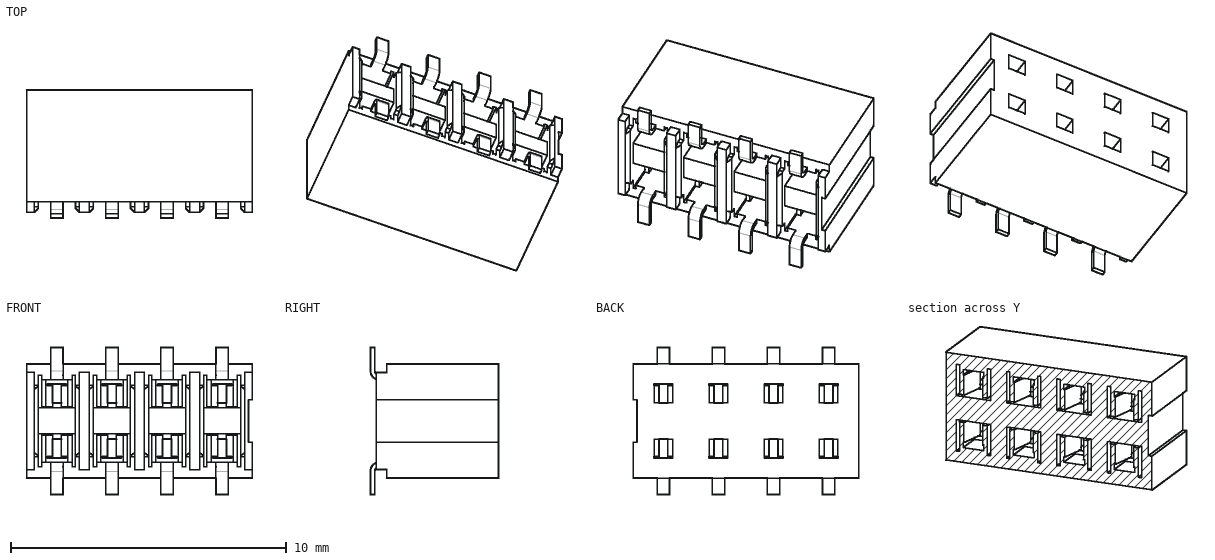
import cadquery as cq
import math


length = 8.18
depth = 4.06
height = 4.15
side_groove_depth = 0.14
side_groove_height = 1.53

cell_count = 4
pitch = 2.0
cell_centres = [(i - (cell_count - 1) / 2) * pitch for i in range(cell_count)]
cell_width = 1.34
cell_height = 3.305
cell_depth = 1.96
block_height = 0.94

rib_height = 3.52
rib_projection = 0.385
rib_gap = 1.64
wide_rib_gap = cell_width
wide_rib_height = 2.6
wide_rib_side_bevel = 0.15
wide_rib_end_bevel = 0.205
wide_rib_end_drop = 0.15

metal = 0.16
contact_width = 1.11
plate_inner_z = cell_height / 2 - metal
tail_width = 0.46
tail_tip_z = 2.67
tail_front = 0.59
bend_inner_radius = 0.16
bend_outer_radius = bend_inner_radius + metal

wall_front = 0.82
wall_thickness = 0.155
wall_end_z = 0.52
spring_gap = 0.31
spring_outer_z = 1.29

slot_width = 0.67
slot_inner_z = 0.655
slot_outer_z = 1.33


def box(x_range, y_range, z_range):
    """Box between opposite corners given as (low, high) pairs."""
    sizes = [high - low for low, high in (x_range, y_range, z_range)]
    low_corner = (x_range[0], y_range[0], z_range[0])
    return cq.Workplane("XY").box(*sizes, centered=False).translate(low_corner)


def centred(size):
    """Range of the given size about zero."""
    return (-size / 2, size / 2)


def around(centre, size):
    """Range of the given size about a centre."""
    return (centre - size / 2, centre + size / 2)


def wide_rib(left, right):
    """Broad root of a rib, bevelled on its sides and on its top and bottom ends."""
    side = (rib_gap - wide_rib_gap) / 2
    shoulder = wide_rib_side_bevel - rib_projection
    plan = (
        cq.Workplane("XY")
        .polyline([
            (left - side, 0),
            (left - side, shoulder),
            (left, -rib_projection),
            (right, -rib_projection),
            (right + side, shoulder),
            (right + side, 0),
        ])
        .close()
        .extrude(wide_rib_height / 2, both=True)
    )
    root_z = wide_rib_height / 2
    tip_z = root_z - wide_rib_end_drop
    bevel_start = wide_rib_end_bevel - rib_projection
    profile = (
        cq.Workplane("YZ")
        .polyline([
            (0, -root_z),
            (bevel_start, -root_z),
            (-rib_projection, -tip_z),
            (-rib_projection, tip_z),
            (bevel_start, root_z),
            (0, root_z),
        ])
        .close()
        .extrude(length, both=True)
    )
    return plan.intersect(profile)


def ribs():
    """A rib on each side of every cell, those at the ends cut flush with the housing."""
    rib_width = pitch - rib_gap
    row = cq.Workplane("XY")
    for i in range(cell_count + 1):
        centre = (i - cell_count / 2) * pitch
        left, right = around(centre, rib_width)
        if i == 0:
            left = -length / 2
        if i == cell_count:
            right = length / 2
        row = row.union(box((left, right), (-rib_projection, 0), centred(rib_height)))
        row = row.union(wide_rib(left, right))
    return row.intersect(box(centred(length), (-rib_projection, 0), centred(rib_height)))


def slot(x):
    """Upper slot through the cell floor, running on behind the springs at both sides."""
    return box(around(x, slot_width), (cell_depth, depth), (slot_inner_z, slot_outer_z))


def contact_side():
    """Side wall of the upper contact, towards +X of its centre, with its spring leaning inward."""
    outer_x = contact_width / 2
    inner_x = outer_x - wall_thickness
    wall = box((inner_x, outer_x), (wall_front, cell_depth), (wall_end_z, plate_inner_z))
    spring = (
        cq.Workplane("XY", origin=(0, 0, wall_end_z))
        .polyline([
            (inner_x, wall_front),
            (spring_gap / 2, cell_depth),
            (inner_x, cell_depth),
        ])
        .close()
        .extrude(spring_outer_z - wall_end_z)
    )
    return wall.union(spring)


def contact(x):
    """Upper contact: a plate along the cell roof, two side walls and a tail bent upward."""
    roof_z = cell_height / 2
    plate = box(around(x, contact_width), (0, cell_depth), (plate_inner_z, roof_z))
    bend_y = bend_outer_radius - tail_front
    bend_z = plate_inner_z + bend_outer_radius
    diagonal = math.sqrt(0.5)
    tail = (
        cq.Workplane("YZ", origin=(x, 0, 0))
        .moveTo(0, plate_inner_z)
        .lineTo(bend_y, plate_inner_z)
        .threePointArc(
            (bend_y - bend_outer_radius * diagonal, bend_z - bend_outer_radius * diagonal),
            (-tail_front, bend_z),
        )
        .lineTo(-tail_front, tail_tip_z)
        .lineTo(metal - tail_front, tail_tip_z)
        .lineTo(metal - tail_front, bend_z)
        .threePointArc(
            (bend_y - bend_inner_radius * diagonal, bend_z - bend_inner_radius * diagonal),
            (bend_y, roof_z),
        )
        .lineTo(0, roof_z)
        .close()
        .extrude(tail_width / 2, both=True)
    )
    right_side = contact_side()
    sides = right_side.union(right_side.mirror("YZ")).translate((x, 0, 0))
    return plate.union(sides).union(tail)


def with_lower_twin(upper):
    """An upper feature joined with its mirror image below the mid-plane."""
    return upper.union(upper.mirror("XY"))


def cell_half(x):
    """Upper half of a cell, between the central block and the cell roof."""
    return box(around(x, cell_width), (0, cell_depth), (block_height / 2, cell_height / 2))


result = box(centred(length), (0, depth), centred(height)).union(ribs())

for x in cell_centres:
    result = result.cut(with_lower_twin(cell_half(x)))
    result = result.cut(with_lower_twin(slot(x)))
    result = result.union(with_lower_twin(contact(x)))

groove_x = (length / 2 - side_groove_depth, length / 2)
result = result.cut(box(groove_x, (-rib_projection, depth), centred(side_groove_height)))